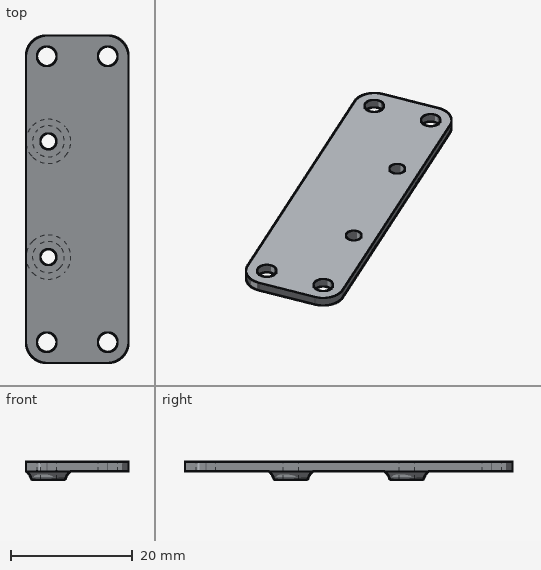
import cadquery as cq

plate_width = 16.9
plate_length = 53.85
plate_thickness = 1.6
corner_radius = 3.5

mount_hole_diameter = 3.2
mount_hole_inset = 3.45

boss_height = 1.4
boss_hole_diameter = 2.6
boss_inset = 3.7
boss_spacing = 19.0
flare_radius = 3.65
neck_radius = 2.9
tip_radius = 2.6
neck_depth = 0.95
flare_middle_offset = 0.25
flare_middle_depth = 0.5

boss_x = boss_inset - plate_width / 2
boss_centres = [(boss_x, side * boss_spacing / 2) for side in (-1, 1)]


def make_plate():
    return (
        cq.Workplane("XY")
        .rect(plate_width, plate_length)
        .extrude(plate_thickness)
        .edges("|Z")
        .fillet(corner_radius)
    )


def make_boss():
    """Turned boss: concave flare to the neck, then a convex rounded tip."""
    embed = plate_thickness / 2
    tip_bulge = (boss_height - neck_depth) / 4
    tip_middle = (
        (neck_radius + tip_radius + tip_bulge) / 2,
        -(neck_depth + boss_height + tip_bulge) / 2,
    )
    flare_middle = (neck_radius + flare_middle_offset, -flare_middle_depth)
    return (
        cq.Workplane("XZ")
        .moveTo(0, embed)
        .lineTo(flare_radius, embed)
        .lineTo(flare_radius, 0)
        .threePointArc(flare_middle, (neck_radius, -neck_depth))
        .threePointArc(tip_middle, (tip_radius, -boss_height))
        .lineTo(0, -boss_height)
        .close()
        .revolve(360, (0, 0), (0, 1))
    )


def make_holes(diameter, centres):
    return (
        cq.Workplane("XY")
        .workplane(offset=-boss_height)
        .pushPoints(centres)
        .circle(diameter / 2)
        .extrude(boss_height + plate_thickness)
    )


result = make_plate()
for x, y in boss_centres:
    result = result.union(make_boss().translate((x, y, 0)))

mount_x = plate_width / 2 - mount_hole_inset
mount_y = plate_length / 2 - mount_hole_inset
mount_centres = [(sx * mount_x, sy * mount_y) for sx in (-1, 1) for sy in (-1, 1)]
result = result.cut(make_holes(mount_hole_diameter, mount_centres))
result = result.cut(make_holes(boss_hole_diameter, boss_centres))